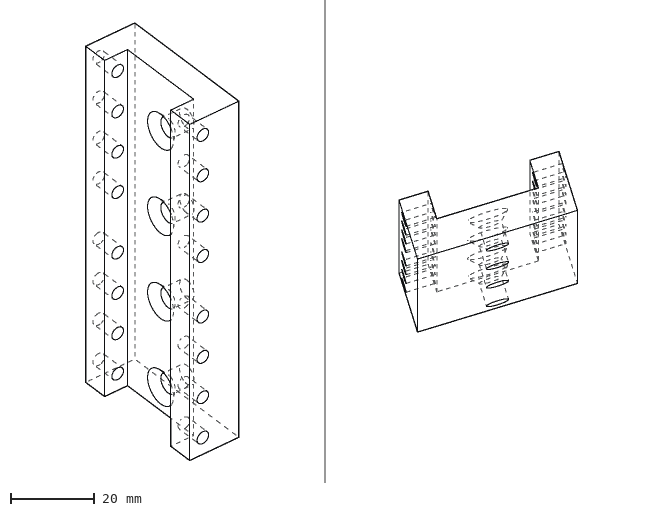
import cadquery as cq

width = 40.0
depth = 15.0
height = 100.0
channel_width = 25.4
channel_depth = 7.0

mount_diameter = 5.5
countersink_diameter = 10.0
countersink_angle = 90.0
mount_count = 4
mount_pitch = 25.4
first_mount_height = 7.0

cross_diameter = 3.5
cross_setback = 4.0
cross_end_distance = 5.0
cross_pitch = 12.0
crosses_per_group = 4


def channel_body():
    body = cq.Workplane("XY").box(width, depth, height, centered=(True, False, False))
    channel = cq.Workplane("XY").box(
        channel_width, channel_depth, height, centered=(True, False, False)
    )
    return body.cut(channel)


def add_mounting_holes(body):
    heights = [first_mount_height + i * mount_pitch for i in range(mount_count)]
    points = [(0, z) for z in heights]
    return (
        body.faces("<Y[1]")
        .workplane(origin=(0, channel_depth, 0))
        .pushPoints(points)
        .cskHole(mount_diameter, countersink_diameter, countersink_angle)
    )


def add_cross_holes(body):
    lower = [cross_end_distance + i * cross_pitch for i in range(crosses_per_group)]
    upper = [height - z for z in lower]
    points = [(cross_setback, z) for z in lower + upper]
    drills = (
        cq.Workplane("YZ")
        .pushPoints(points)
        .circle(cross_diameter / 2)
        .extrude(width, both=True)
    )
    return body.cut(drills)


result = add_cross_holes(add_mounting_holes(channel_body()))